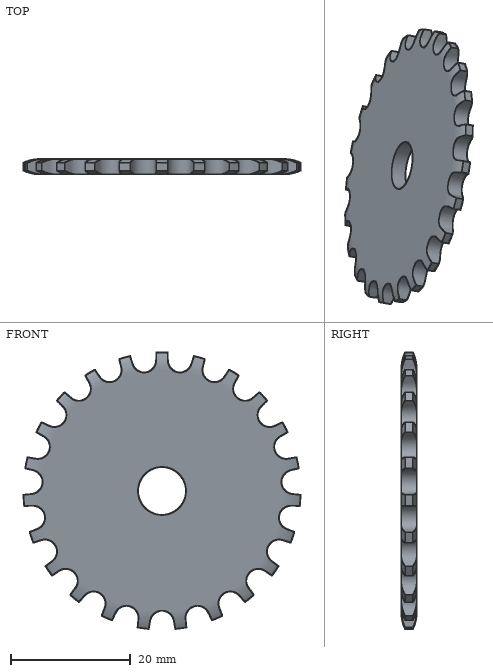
import cadquery as cq
import math

tooth_count = 23
tip_radius = 23.2
thickness = 2.6
bore_diameter = 8.0

pitch_radius = 22.05
seat_radius = 2.0
flank_angle = math.radians(10)
gap_clearance = 1.4

flat_face_radius = 20.35
tip_width = 1.3


def rounded_blank():
    """Revolve the half section of the disc, bore included, around Y."""
    half_thickness = thickness / 2
    half_tip = tip_width / 2
    side_depth = half_thickness - half_tip
    side_height = tip_radius - flat_face_radius
    side_arc_radius = (side_height**2 + side_depth**2) / (2 * side_depth)
    mid_angle = math.asin(side_height / side_arc_radius) / 2
    mid_radius = flat_face_radius + side_arc_radius * math.sin(mid_angle)
    mid_y = half_thickness - side_arc_radius * (1 - math.cos(mid_angle))
    bore_radius = bore_diameter / 2
    return (
        cq.Workplane("XY")
        .moveTo(bore_radius, -half_thickness)
        .lineTo(flat_face_radius, -half_thickness)
        .threePointArc((mid_radius, -mid_y), (tip_radius, -half_tip))
        .lineTo(tip_radius, half_tip)
        .threePointArc((mid_radius, mid_y), (flat_face_radius, half_thickness))
        .lineTo(bore_radius, half_thickness)
        .close()
        .revolve(360, (0, 0, 0), (0, 1, 0))
    )


def gap_cutter():
    """Cutter for the tooth gap centred on -Z."""
    seat_end_x = seat_radius * math.cos(flank_angle)
    seat_end_z = -pitch_radius + seat_radius * math.sin(flank_angle)
    mouth_z = -(tip_radius + gap_clearance)
    mouth_x = seat_end_x + (seat_end_z - mouth_z) * math.tan(flank_angle)
    return (
        cq.Workplane("XZ")
        .moveTo(-mouth_x, mouth_z)
        .lineTo(-seat_end_x, seat_end_z)
        .threePointArc((0, seat_radius - pitch_radius), (seat_end_x, seat_end_z))
        .lineTo(mouth_x, mouth_z)
        .close()
        .extrude(thickness, both=True)
    )


result = rounded_blank()
cutter = gap_cutter()
for index in range(tooth_count):
    angle = index * 360 / tooth_count
    result = result.cut(cutter.rotate((0, 0, 0), (0, 1, 0), angle))